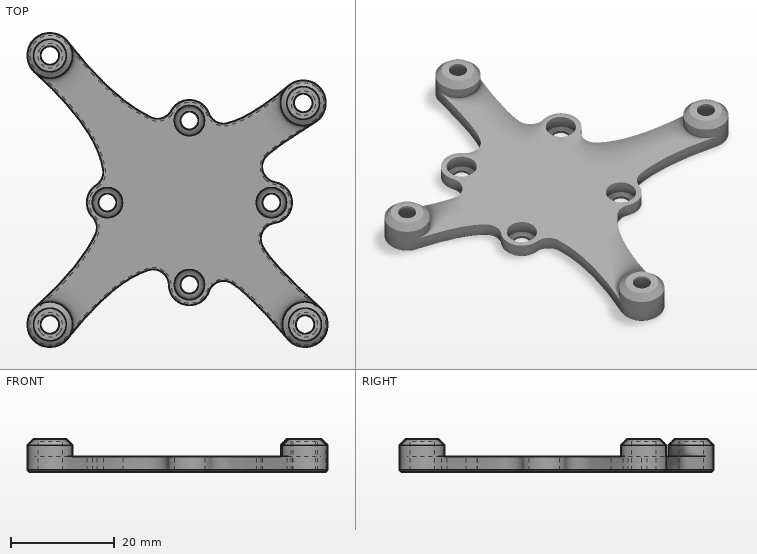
import cadquery as cq
import math

plate_thickness = 3.0
boss_height = 6.4
bottom_chamfer = 0.4

boss_diameter = 8.7
boss_radius = boss_diameter / 2
boss_hole_diameter = 3.5
boss_chamfer = 1.2
boss_bore_diameter = 4.7
boss_lip = 0.5
left_x = -26.85
right_x = 22.25
front_y = -23.5
back_left = (left_x, 28.3)
back_right = (21.9, 19.2)
front_right = (right_x, front_y)
front_left = (left_x, front_y)
bosses = [back_left, back_right, front_right, front_left]

pad_offset = 15.8
pad_diameter = 8.0
pad_radius = pad_diameter / 2
pad_hole_diameter = 3.4
counterbore_diameter = 5.8
counterbore_depth = 2.5
back_pad = (0, pad_offset)
right_pad = (pad_offset, 0)
front_pad = (0, -pad_offset)
left_pad = (-pad_offset, 0)
pads = [back_pad, right_pad, front_pad, left_pad]

fillet_radius = 3.0

flanks = [
    (back_left, back_pad, 37.5, 13.8, 151.2),
    (back_right, back_pad, 130.1, 9.45, 20.4),
    (back_right, right_pad, -58.3, 10.3, 79.7),
    (front_right, right_pad, 47.8, 14.0, -81.8),
    (front_right, front_pad, -139.9, 10.85, -19.4),
    (front_left, front_pad, -38.3, 14.05, -179.1),
    (front_left, left_pad, 131.7, 11.7, -136.4),
    (back_left, left_pad, -132.1, 16.15, 123.3),
]


def polar(centre, radius, degrees):
    """Point at a radius and direction from a centre."""
    angle = math.radians(degrees)
    return (centre[0] + radius * math.cos(angle), centre[1] + radius * math.sin(angle))


def direction(start, end):
    """Direction from one point to another, in degrees."""
    return math.degrees(math.atan2(end[1] - start[1], end[0] - start[0]))


def flank_points(flank, turn):
    """Boss point, control point, flank end, middle of the rounding and pad point.

    The lead runs a quarter turn from the boss direction: clockwise for turn -1, anticlockwise for turn 1.
    """
    boss, pad, boss_angle, lead, pad_angle = flank
    boss_point = polar(boss, boss_radius, boss_angle)
    control = polar(boss_point, lead, boss_angle + 90 * turn)
    centre = polar(pad, pad_radius + fillet_radius, pad_angle)
    pad_point = polar(pad, pad_radius, pad_angle)

    tangent_spread = math.degrees(math.acos(fillet_radius / math.dist(centre, control)))
    end_angle = direction(centre, control) - turn * tangent_spread
    flank_end = polar(centre, fillet_radius, end_angle)

    sweep = (pad_angle + 180 - end_angle + 180) % 360 - 180
    rounding_middle = polar(centre, fillet_radius, end_angle + sweep / 2)
    return boss_point, control, flank_end, rounding_middle, pad_point


def clockwise_middle(centre, radius, start_angle, end_angle):
    """Middle point of the arc that runs clockwise between two directions."""
    return polar(centre, radius, start_angle - (start_angle - end_angle) % 360 / 2)


def plate_outline():
    """Closed outline, clockwise, with a corner at each boss centre."""
    outline = cq.Workplane("XY").moveTo(*flank_points(flanks[0], -1)[0])
    for i in range(0, len(flanks), 2):
        inbound = flanks[i]
        outbound = flanks[i + 1]
        following = flanks[(i + 2) % len(flanks)]

        boss_point, control, flank_end, rounding_middle, pad_point = flank_points(inbound, -1)
        outline = outline.bezier([boss_point, control, flank_end])
        outline = outline.threePointArc(rounding_middle, pad_point)

        _, pad, _, _, pad_start_angle = inbound
        boss, _, _, _, pad_end_angle = outbound
        pad_middle = clockwise_middle(pad, pad_radius, pad_start_angle, pad_end_angle)
        boss_point, control, flank_end, rounding_middle, pad_point = flank_points(outbound, 1)
        outline = outline.threePointArc(pad_middle, pad_point)
        outline = outline.threePointArc(rounding_middle, flank_end)
        outline = outline.bezier([flank_end, control, boss_point])

        outline = outline.lineTo(*boss).lineTo(*flank_points(following, -1)[0])
    return outline.close()


def cylinders(centres, diameter, bottom, top):
    """Upright cylinders of one diameter between two heights."""
    base = cq.Workplane("XY", origin=(0, 0, bottom)).pushPoints(centres)
    return base.circle(diameter / 2).extrude(top - bottom)


plate = plate_outline().extrude(plate_thickness)
posts = cylinders(bosses, boss_diameter, 0, boss_height).faces(">Z").edges().chamfer(boss_chamfer)
body = plate.union(posts).faces("<Z").edges().chamfer(bottom_chamfer)

boss_holes = cylinders(bosses, boss_hole_diameter, 0, boss_height)
boss_bores = cylinders(bosses, boss_bore_diameter, 0, boss_height - boss_lip)

pad_holes = cylinders(pads, pad_hole_diameter, 0, plate_thickness)
counterbores = cylinders(pads, counterbore_diameter, plate_thickness - counterbore_depth, plate_thickness)

result = body.cut(boss_holes).cut(boss_bores).cut(pad_holes).cut(counterbores)